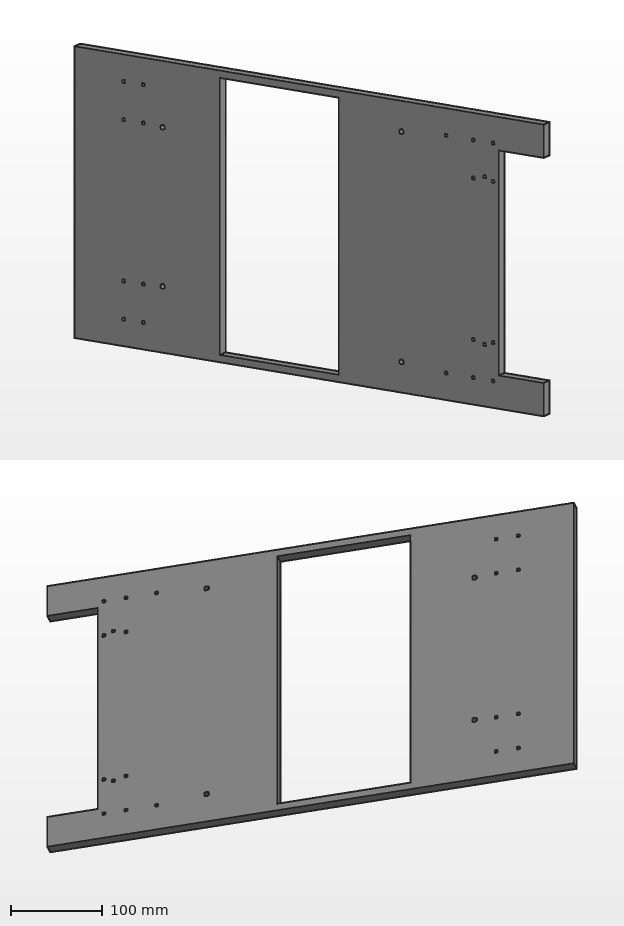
import cadquery as cq

length = 600.0
thickness = 12.5
height = 330.0

window_left = 186.0
window_width = 152.0
window_rail = 8.5

arm_length = 57.5
arm_height = 38.0

small_diameter = 3.5
large_diameter = 5.5

group_starts = (63.0, 510.0)
group_pitch = 25.0
inner_row = 91.0
outer_row = 134.5

single_small_holes = [(475.0, outer_row), (524.5, 95.0)]
large_holes = [(113.0, 90.0), (418.0, 130.0)]


def block(left, width, block_height):
    """Full-thickness block, centred on the mid-height."""
    return cq.Workplane("XY").box(width, thickness, block_height, centered=(False, True, True)).translate(
        (left, 0, 0)
    )


def drill(plate, positions, diameter):
    """Drill through holes at the positions and at their mirror images."""
    points = [(x, side * z) for x, z in positions for side in (1, -1)]
    drills = cq.Workplane("XZ").pushPoints(points).circle(diameter / 2).extrude(thickness, both=True)
    return plate.cut(drills)


group_holes = [
    (x, z)
    for start in group_starts
    for x in (start, start + group_pitch)
    for z in (inner_row, outer_row)
]

plate = block(0, length, height)
plate = plate.cut(block(window_left, window_width, height - 2 * window_rail))
plate = plate.cut(block(length - arm_length, arm_length, height - 2 * arm_height))
plate = drill(plate, group_holes + single_small_holes, small_diameter)
plate = drill(plate, large_holes, large_diameter)

result = plate